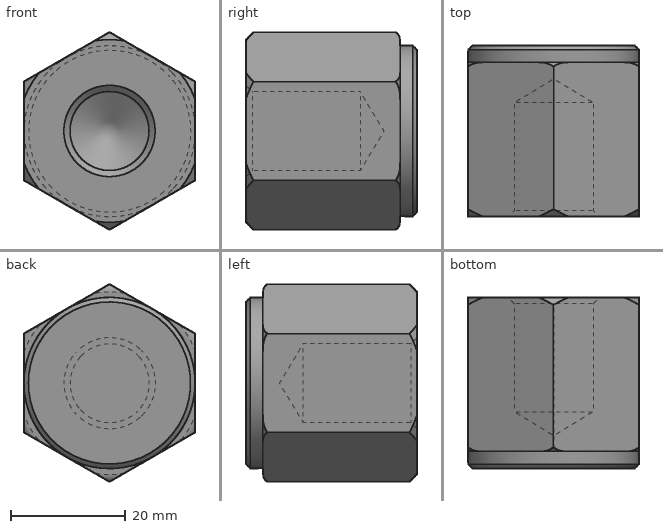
import cadquery as cq
import math

across_flats = 30.0
across_corners = across_flats / math.cos(math.radians(30))
corner_radius = across_corners / 2
total_length = 30.0

collar_diameter = 30.0
collar_length = 3.0
collar_chamfer = 0.8

end_face_diameter = 32.0
end_face_radius = end_face_diameter / 2
rear_round_radius = 1.5

thread_diameter = 16.0
core_diameter = 13.84
hole_depth = 20.0
drill_point_angle = 118.0

front_y = -total_length / 2
rear_y = total_length / 2
shoulder_y = rear_y - collar_length


def turned(profile):
    """Revolve a closed (radius, y) profile about the Y axis."""
    return profile.close().revolve(360, (0, 0, 0), (0, 1, 0))


def make_hexagon():
    """Hexagonal prism with corners on +Z and -Z, corners turned down at both ends."""
    hexagon = (
        cq.Workplane("XZ", origin=(0, shoulder_y, 0))
        .polygon(6, across_corners)
        .extrude(shoulder_y - front_y)
        .rotate((0, 0, 0), (0, 1, 0), 30)
    )
    envelope_radius = end_face_radius + rear_round_radius
    cone_length = envelope_radius - end_face_radius
    round_centre_y = shoulder_y - rear_round_radius
    round_offset = rear_round_radius * math.sqrt(0.5)
    envelope = turned(
        cq.Workplane("XY")
        .moveTo(0, front_y)
        .lineTo(end_face_radius, front_y)
        .lineTo(envelope_radius, front_y + cone_length)
        .lineTo(envelope_radius, round_centre_y)
        .threePointArc(
            (end_face_radius + round_offset, round_centre_y + round_offset),
            (end_face_radius, shoulder_y),
        )
        .lineTo(0, shoulder_y)
    )
    return hexagon.intersect(envelope)


def make_collar():
    """Round collar with a chamfered rear rim."""
    collar_radius = collar_diameter / 2
    return turned(
        cq.Workplane("XY")
        .moveTo(0, shoulder_y)
        .lineTo(collar_radius, shoulder_y)
        .lineTo(collar_radius, rear_y - collar_chamfer)
        .lineTo(collar_radius - collar_chamfer, rear_y)
        .lineTo(0, rear_y)
    )


def make_hole():
    """Blind hole with a 45 degree entry countersink and a conical drill point."""
    core_radius = core_diameter / 2
    thread_radius = thread_diameter / 2
    countersink_depth = thread_radius - core_radius
    point_depth = core_radius / math.tan(math.radians(drill_point_angle / 2))
    return turned(
        cq.Workplane("XY")
        .moveTo(0, front_y)
        .lineTo(thread_radius, front_y)
        .lineTo(core_radius, front_y + countersink_depth)
        .lineTo(core_radius, front_y + hole_depth)
        .lineTo(0, front_y + hole_depth + point_depth)
    )


result = make_hexagon().union(make_collar()).cut(make_hole())